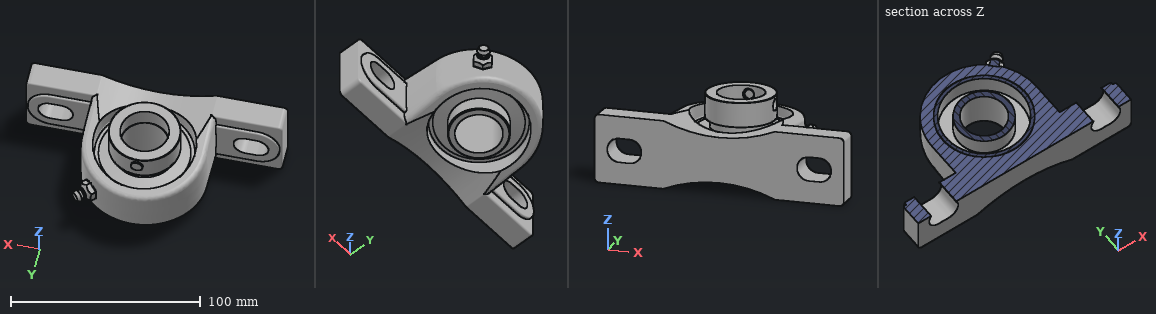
import cadquery as cq
import math


foot_length = 138.5
foot_width = 37.5
axis_height = 36.5
foot_thickness = 13.8
foot_corner_radius = 2.5
foot_top_fillet = 1.1
foot_bottom_y = -axis_height
foot_top_y = foot_bottom_y + foot_thickness

slot_spacing = 105.4
slot_length = 18.8
slot_width = 13.0
boss_margin = 5.8
boss_height = 1.7
boss_fillet = 0.8

crown_radius = 34.0
barrel_radius = 249.3
taper_angle = 6.5
half_width_at_axis = 16.0
crown_bottom_y = foot_top_y - foot_top_fillet
crown_fillet = 2.8

waist_half_length = 30.9
waist_end_fillet = 2.1
waist_depth = 6.2

housing_bore = 54.7
outer_ring_diameter = 53.0
bore_floor_fillet = (housing_bore - outer_ring_diameter) / 2
outer_ring_bore = 48.8
outer_ring_half_width = 7.5
shield_thickness = 1.4
shield_rim_diameter = 47.0
shield_rise = 0.7
inner_ring_diameter = 33.0
inner_ring_bore = 25.3
inner_ring_bottom_z = -17.5
inner_ring_top_z = 16.9
inner_ring_chamfer = 0.5

collar_diameter = 38.1
collar_bore = 25.8
collar_bottom_z = 13.0
collar_top_z = 26.9
collar_top_chamfer = 0.3
collar_bottom_chamfer_width = 0.4
collar_bottom_chamfer_height = 0.7
screw_diameter = 6.4
screw_tip_diameter = 5.0
screw_z = 21.9
screw_inner_y = 13.6
screw_outer_y = 19.8
drift_hole_depth = 3.5

nipple_angle = 45.0
nipple_hex_flats = 9.7
nipple_hex_turn = 30.0
nipple_base_r = 33.2
nipple_cone_tip_r = 41.8
nipple_cone_end_r = 38.5
nipple_neck_diameter = 5.0
nipple_neck_end_r = 39.5
nipple_head_diameter = 6.9
nipple_head_widest_r = 41.4
nipple_tip_diameter = 5.3
nipple_tip_r = 43.6


def make_foot():
    """Waisted foot with rounded corners and a softened top edge."""
    foot = (
        cq.Workplane("XY")
        .box(foot_length, foot_thickness, foot_width)
        .translate((0, foot_bottom_y + foot_thickness / 2, 0))
        .edges("|Y")
        .fillet(foot_corner_radius)
        .cut(make_waist_cuts())
    )
    waist_ends = foot.edges("|Y").filter(
        lambda edge: abs(abs(edge.Center().x) - waist_half_length) < waist_end_fillet
    )
    return waist_ends.fillet(waist_end_fillet).faces(">Y").edges().fillet(foot_top_fillet)


def make_boss():
    """Low pad with round ends along the top of the foot, running through the crown."""
    boss_half_width = slot_width / 2 + boss_margin
    boss_length = slot_spacing + slot_length + 2 * boss_margin
    boss = (
        cq.Workplane("XZ", origin=(0, foot_top_y, 0))
        .slot2D(boss_length, 2 * boss_half_width)
        .extrude(-boss_height)
    )
    return boss.faces(">Y").edges().fillet(boss_fillet)


def make_crown():
    """Arched body with a barrelled perimeter, narrowing upwards between two sloping faces."""
    blank_half = foot_width / 2 + crown_fillet
    edge_radius = crown_radius - barrel_radius + math.sqrt(barrel_radius**2 - blank_half**2)
    half_section = (
        cq.Workplane("XZ")
        .moveTo(0, -blank_half)
        .lineTo(edge_radius, -blank_half)
        .threePointArc((crown_radius, 0), (edge_radius, blank_half))
        .lineTo(0, blank_half)
        .close()
        .wire()
    )
    outline = half_section.val()
    arch = cq.Workplane("XZ").add(outline).toPending().revolve(180, (0, 0), (0, 1))
    leg = cq.Workplane("XZ").add(outline).toPending().extrude(-crown_bottom_y)
    blank = arch.union(leg).union(leg.mirror("YZ"))

    slope = math.tan(math.radians(taper_angle))
    reach = 2 * crown_radius
    wide_half = half_width_at_axis + reach * slope
    narrow_half = half_width_at_axis - reach * slope
    wedge = (
        cq.Workplane("YZ")
        .polyline([(-reach, -wide_half), (reach, -narrow_half), (reach, narrow_half), (-reach, wide_half)])
        .close()
        .extrude(reach, both=True)
    )
    crown = blank.intersect(wedge)
    for sloping_face in (">Z", "<Z"):
        rim = crown.faces(sloping_face).edges().filter(
            lambda edge: edge.Center().y > crown_bottom_y + crown_fillet
        )
        crown = rim.fillet(crown_fillet)
    return crown


def make_waist_cuts():
    """Two shallow cylinders that hollow the long sides of the foot below the bore axis."""
    waist_radius = (waist_half_length**2 + waist_depth**2) / (2 * waist_depth)
    waist_axis_z = foot_width / 2 - waist_depth + waist_radius
    cylinder = (
        cq.Workplane("XZ")
        .center(0, waist_axis_z)
        .circle(waist_radius)
        .extrude(axis_height)
    )
    return cylinder.union(cylinder.mirror("XY"))


def make_slots():
    """Mounting slots through the foot and its boss."""
    return (
        cq.Workplane("XZ", origin=(0, foot_bottom_y, 0))
        .pushPoints([(-slot_spacing / 2, 0), (slot_spacing / 2, 0)])
        .slot2D(slot_length, slot_width)
        .extrude(-2 * foot_thickness)
    )


def make_nipple():
    """Grease nipple: chamfered hexagon, neck and flared head, standing out of the crown."""
    hex_length = nipple_cone_end_r - nipple_base_r
    hexagon = (
        cq.Workplane("XY")
        .workplane(offset=nipple_base_r)
        .polygon(6, nipple_hex_flats, circumscribed=True)
        .extrude(hex_length)
        .rotate((0, 0, 0), (0, 0, 1), nipple_hex_turn)
    )
    cone_base_radius = nipple_cone_tip_r - nipple_base_r
    cone_end_radius = nipple_cone_tip_r - nipple_cone_end_r
    cone = cq.Workplane("XZ").polyline(
        [
            (0, nipple_base_r),
            (cone_base_radius, nipple_base_r),
            (cone_end_radius, nipple_cone_end_r),
            (0, nipple_cone_end_r),
        ]
    ).close().revolve(360, (0, 0), (0, 1))
    head = cq.Workplane("XZ").polyline(
        [
            (0, nipple_base_r),
            (nipple_neck_diameter / 2, nipple_base_r),
            (nipple_neck_diameter / 2, nipple_neck_end_r),
            (nipple_head_diameter / 2, nipple_head_widest_r),
            (nipple_tip_diameter / 2, nipple_tip_r),
            (0, nipple_tip_r),
        ]
    ).close().revolve(360, (0, 0), (0, 1))
    nipple = hexagon.intersect(cone).union(head)
    return nipple.rotate((0, 0, 0), (0, 1, 0), 90).rotate((0, 0, 0), (0, 0, 1), nipple_angle)


def make_bore():
    """Through seat for the outer ring, opening into a wider mouth with a rounded floor at each end."""
    seat = cq.Workplane("XY").circle(outer_ring_diameter / 2).extrude(foot_width, both=True)
    mouth = (
        cq.Workplane("XY")
        .workplane(offset=outer_ring_half_width)
        .circle(housing_bore / 2)
        .extrude(foot_width)
        .faces("<Z")
        .edges()
        .fillet(bore_floor_fillet)
    )
    return seat.union(mouth).union(mouth.mirror("XY"))


def make_housing(nipple):
    """Pillow block with a through bore and a recess that seats the grease nipple."""
    crown = make_crown().cut(make_waist_cuts())
    body = make_foot().union(make_boss()).union(crown)
    return body.cut(make_slots()).cut(make_bore()).cut(nipple)


def make_outer_ring():
    """Plain bearing outer ring, flush with the floors of the bore mouths."""
    return (
        cq.Workplane("XY")
        .circle(outer_ring_diameter / 2)
        .circle(outer_ring_bore / 2)
        .extrude(outer_ring_half_width, both=True)
    )


def make_shield():
    """Annular shield that closes the upper space between the rings, rising slightly towards the bore."""
    inner_radius = inner_ring_diameter / 2
    rim_z = outer_ring_half_width
    section = cq.Workplane("XZ").polyline(
        [
            (inner_radius, rim_z - shield_thickness),
            (outer_ring_bore / 2, rim_z - shield_thickness),
            (outer_ring_bore / 2, rim_z),
            (shield_rim_diameter / 2, rim_z),
            (inner_radius, rim_z + shield_rise),
        ]
    )
    return section.close().revolve(360, (0, 0), (0, 1))


def make_inner_ring():
    """Extended inner ring whose upper end sits inside the locking collar."""
    ring = (
        cq.Workplane("XY")
        .workplane(offset=inner_ring_bottom_z)
        .circle(inner_ring_diameter / 2)
        .circle(inner_ring_bore / 2)
        .extrude(inner_ring_top_z - inner_ring_bottom_z)
    )
    return ring.faces("<Z").edges(cq.selectors.RadiusNthSelector(-1)).chamfer(inner_ring_chamfer)


def radial_cylinder(diameter, start, end):
    """Cylinder along +Y at the height of the set screw."""
    return (
        cq.Workplane("XZ", origin=(0, start, screw_z))
        .circle(diameter / 2)
        .extrude(start - end)
    )


def make_collar():
    """Locking collar: counterbored for the inner ring, with a screw hole and a blind drift hole."""
    collar = (
        cq.Workplane("XY")
        .workplane(offset=collar_bottom_z)
        .circle(collar_diameter / 2)
        .extrude(collar_top_z - collar_bottom_z)
        .faces(">Z")
        .chamfer(collar_top_chamfer)
        .faces("<Z")
        .chamfer(collar_bottom_chamfer_width, collar_bottom_chamfer_height)
    )
    bore = cq.Workplane("XY").circle(collar_bore / 2).extrude(collar_top_z)
    counterbore = cq.Workplane("XY").circle(inner_ring_diameter / 2).extrude(inner_ring_top_z)
    screw_hole = radial_cylinder(screw_diameter, 0, collar_diameter)
    drift_hole = radial_cylinder(screw_diameter, collar_diameter / 2 - drift_hole_depth, collar_diameter).rotate(
        (0, 0, 0), (0, 0, 1), -90
    )
    return collar.cut(bore).cut(counterbore).cut(screw_hole).cut(drift_hole)


def make_set_screw():
    """Headless set screw with a chamfered tip."""
    screw = radial_cylinder(screw_diameter, screw_inner_y, screw_outer_y)
    return screw.faces("<Y").chamfer((screw_diameter - screw_tip_diameter) / 2)


nipple = make_nipple()
housing = make_housing(nipple)
outer_ring = make_outer_ring()
upper_shield = make_shield()
lower_shield = upper_shield.mirror("XY")
inner_ring = make_inner_ring()
collar = make_collar()
set_screw = make_set_screw()

result = cq.Compound.makeCompound(
    [
        housing.val(),
        nipple.val(),
        outer_ring.val(),
        upper_shield.val(),
        lower_shield.val(),
        inner_ring.val(),
        collar.val(),
        set_screw.val(),
    ]
)